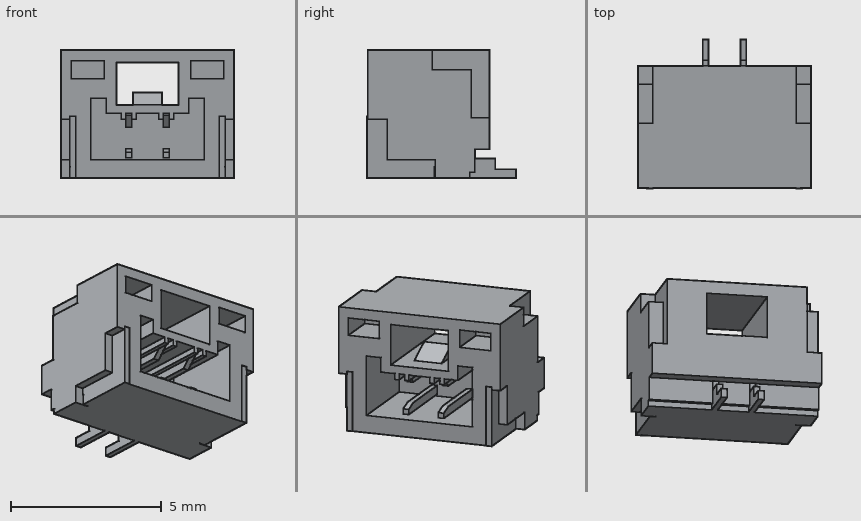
import cadquery as cq


body_width = 5.75
body_depth = 4.05
body_height = 4.25
half_width = body_width / 2

undercut_front = 3.55
undercut_height = 0.95
notch_front = 3.4
notch_height = 0.19

corner_width = 0.5
corner_front = 2.15
corner_floor = 3.6
corner_rear_front = 3.45
corner_rear_floor = 2.0

relief_width = 0.3
relief_depth = 0.65
relief_height = 1.95
relief_foot_depth = 2.24
relief_foot_height = 0.6

tab_thickness = 0.2
tab_projection = 0.02
tab_height = 2.05
tab_upright_depth = 0.4
tab_foot_height = 0.37
tab_end_gap = 0.02

cavity_width = 3.77
cavity_depth = 3.0
cavity_floor = 0.6
cavity_top = 2.65
cavity_ceiling = 2.15
ceiling_width = 2.74

guide_width = 0.5
guide_bottom = 1.95

window_width = 2.05
window_floor = 2.43
window_top = 3.83
ramp_width = 0.97
ramp_height = 0.41
ramp_front = 0.78
ramp_length = 0.9

pocket_inner = 1.43
pocket_outer = 2.53
pocket_floor = 3.3
pocket_top = 3.9
pocket_depth = 1.5

pin_pitch = 1.25
pin_thickness = 0.2
pin_rear = 3.58
tail_end = 4.93
tail_height = 0.3
shoulder_end = 4.24
shoulder_height = 0.65
prong_tip = 0.37
prong_bottom = 0.67
prong_tip_top = 0.85
prong_top = 0.97
prong_slope = 0.42
upper_tip_bottom = 2.08
upper_bottom = 1.68

pin_centers = [-pin_pitch / 2, pin_pitch / 2]


def block(x_range, y_range, z_range):
    """Axis-aligned box between the given limits."""
    size = [high - low for low, high in (x_range, y_range, z_range)]
    corner = (x_range[0], y_range[0], z_range[0])
    return cq.Workplane("XY").box(*size, centered=False).translate(corner)


def side_plate(points, x_center, thickness):
    """Plate with a (Y, Z) outline, centred on x_center."""
    plate = cq.Workplane("YZ").polyline(points).close().extrude(thickness / 2, both=True)
    return plate.translate((x_center, 0, 0))


def centered(width, center=0):
    """X limits of a feature of the given width."""
    return (center - width / 2, center + width / 2)


def both_sides(shape):
    """The shape together with its mirror image across the YZ plane."""
    return shape.union(shape.mirror("YZ"))


def housing_blank():
    outline = [
        (0, 0),
        (notch_front, 0),
        (notch_front, notch_height),
        (undercut_front, notch_height),
        (undercut_front, undercut_height),
        (body_depth, undercut_height),
        (body_depth, body_height),
        (0, body_height),
    ]
    return side_plate(outline, 0, body_width)


def corner_reliefs():
    outline = [
        (corner_front, body_height),
        (corner_front, corner_floor),
        (corner_rear_front, corner_floor),
        (corner_rear_front, corner_rear_floor),
        (body_depth, corner_rear_floor),
        (body_depth, body_height),
    ]
    return both_sides(side_plate(outline, half_width - corner_width / 2, corner_width))


def lower_reliefs():
    outline = [
        (0, 0),
        (relief_foot_depth, 0),
        (relief_foot_depth, relief_foot_height),
        (relief_depth, relief_foot_height),
        (relief_depth, relief_height),
        (0, relief_height),
    ]
    relief = side_plate(outline, half_width - relief_width / 2, relief_width)
    tab_x = half_width - relief_width - tab_thickness / 2
    foot_slot = block(
        centered(tab_thickness, tab_x), (0, relief_foot_depth), (0, tab_foot_height)
    )
    return both_sides(relief.union(foot_slot))


def hold_down_tabs():
    foot_end = relief_foot_depth - tab_end_gap
    outline = [
        (-tab_projection, 0),
        (foot_end, 0),
        (foot_end, tab_foot_height),
        (tab_upright_depth, tab_foot_height),
        (tab_upright_depth, tab_height),
        (-tab_projection, tab_height),
    ]
    tab_x = half_width - relief_width - tab_thickness / 2
    return both_sides(side_plate(outline, tab_x, tab_thickness))


def mating_cavity():
    depth = (0, cavity_depth)
    cavity = block(centered(cavity_width), depth, (cavity_floor, cavity_top))
    cavity = cavity.cut(block(centered(ceiling_width), depth, (cavity_ceiling, cavity_top)))
    for x in pin_centers:
        guide = block(centered(guide_width, x), depth, (guide_bottom, cavity_ceiling))
        slot = block(centered(pin_thickness, x), depth, (guide_bottom, cavity_ceiling))
        cavity = cavity.cut(guide).union(slot)
    return cavity


def latch_window():
    return block(centered(window_width), (0, body_depth), (window_floor, window_top))


def latch_ramp():
    ramp_end = ramp_front + ramp_length
    outline = [
        (ramp_front, window_floor),
        (ramp_end, window_floor),
        (ramp_end, window_floor + ramp_height),
    ]
    return side_plate(outline, 0, ramp_width)


def side_pockets():
    pocket = block((pocket_inner, pocket_outer), (0, pocket_depth), (pocket_floor, pocket_top))
    return both_sides(pocket)


def contact_pin(x):
    prong_full = prong_tip + prong_slope
    upper_slope = upper_tip_bottom - upper_bottom
    upper_full = prong_tip + upper_slope
    outline = [
        (prong_tip, prong_bottom),
        (notch_front, prong_bottom),
        (notch_front, 0),
        (tail_end, 0),
        (tail_end, tail_height),
        (shoulder_end, tail_height),
        (shoulder_end, shoulder_height),
        (pin_rear, shoulder_height),
        (pin_rear, cavity_ceiling),
        (prong_tip, cavity_ceiling),
        (prong_tip, upper_tip_bottom),
        (upper_full, upper_bottom),
        (cavity_depth, upper_bottom),
        (cavity_depth, prong_top),
        (prong_full, prong_top),
        (prong_tip, prong_tip_top),
    ]
    return side_plate(outline, x, pin_thickness)


result = housing_blank()
for removed in (corner_reliefs(), lower_reliefs(), mating_cavity(), latch_window(), side_pockets()):
    result = result.cut(removed)
result = result.union(latch_ramp()).union(hold_down_tabs())
for pin_x in pin_centers:
    result = result.union(contact_pin(pin_x))